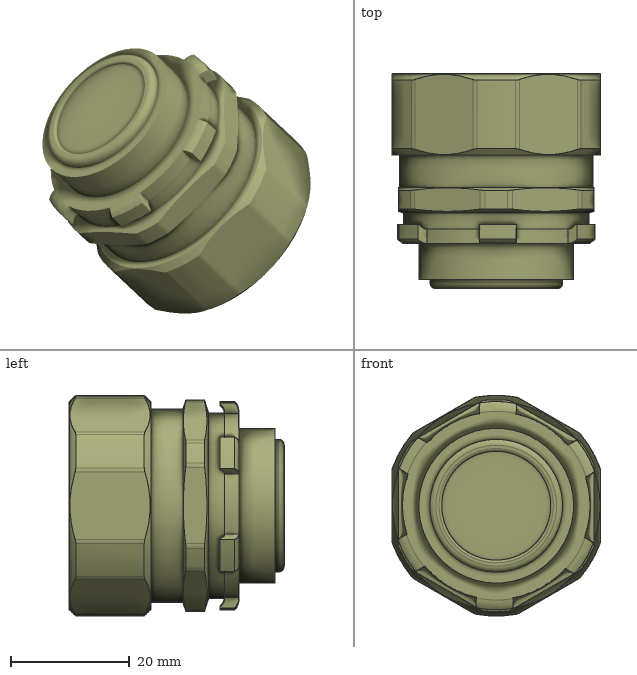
import cadquery as cq
import math

NUT_END = 13.7
BODY_END = 19.1
LOCKNUT_END = 23.4
RING_START = 26.1
RING_END = 28.5
SPIGOT_END = 34.6
TOTAL_LENGTH = 36.12

BODY_DIAMETER = 32.5
NECK_DIAMETER = 31.2
RING_DIAMETER = 31.5
SPIGOT_DIAMETER = 26.0
LIP_DIAMETER = 22.3

NUT_ACROSS_FLATS = 35.1
NUT_CORNER_DIAMETER = 37.1
NUT_CHAMFER = 1.1

LOCKNUT_ACROSS_FLATS = 32.9
LOCKNUT_CORNER_DIAMETER = 35.6
LOCKNUT_REAR_CHAMFER = 0.5
LOCKNUT_FRONT_CHAMFER = 0.7

HEX_SIDES = 6
HEX_EDGE_FILLET = 2.0

TOOTH_COUNT = 6
TOOTH_WIDTH = 6.16
TOOTH_TWIST = 1.0
TOOTH_OUTER_RADIUS = 17.5
TOOTH_REAR = 25.3
TOOTH_CROWN_END = 27.8
TOOTH_TIP_THICKNESS = 0.3
REAR_BEND_RADIUS = 1.95
FRONT_BEND_RADIUS = 2.4

LIP_FILLET = 1.0
RECESS_DIAMETER = 18.3
RECESS_DEPTH = 0.5
RECESS_EDGE_FILLET = 0.45


def cylinder(diameter, start, end):
    """Solid cylinder on the fitting axis between two axial stations."""
    return cq.Workplane("XZ", origin=(0, -start, 0)).circle(diameter / 2).extrude(end - start)


def revolve_profile(points):
    """Solid of revolution from a (radius, station) outline."""
    outline = [(radius, -station) for radius, station in points]
    return cq.Workplane("XY").polyline(outline).close().revolve(360, (0, 0, 0), (0, 1, 0))


def hex_nut(
    across_flats, corner_diameter, start, end, rear_chamfer, front_chamfer, rear_radius, front_radius
):
    """Hexagon with flats on +-X, rounded corners and conical chamfers down to the end radii."""
    corner_radius = corner_diameter / 2
    hexagon = (
        cq.Workplane("XZ", origin=(0, -start, 0))
        .transformed(rotate=(0, 0, 360 / HEX_SIDES / 2))
        .polygon(HEX_SIDES, across_flats / math.cos(math.pi / HEX_SIDES))
        .extrude(end - start)
    )
    blank = hexagon.intersect(cylinder(corner_diameter, start, end))
    blank = blank.edges("|Y").fillet(HEX_EDGE_FILLET)
    envelope = revolve_profile([
        (0, start),
        (rear_radius, start),
        (corner_radius, start + rear_chamfer),
        (corner_radius, end - front_chamfer),
        (front_radius, end),
        (0, end),
    ])
    return blank.intersect(envelope)


def compression_nut():
    end_radius = NUT_CORNER_DIAMETER / 2 - NUT_CHAMFER
    return hex_nut(
        NUT_ACROSS_FLATS, NUT_CORNER_DIAMETER, 0, NUT_END, NUT_CHAMFER, NUT_CHAMFER, end_radius, end_radius
    )


def locknut():
    return hex_nut(
        LOCKNUT_ACROSS_FLATS, LOCKNUT_CORNER_DIAMETER, BODY_END, LOCKNUT_END,
        LOCKNUT_REAR_CHAMFER, LOCKNUT_FRONT_CHAMFER, BODY_DIAMETER / 2, NECK_DIAMETER / 2,
    )


def tooth_section():
    """Solid of revolution with the tooth section: hollow at the rear, rounded shoulder at the front."""
    rear_bend = (TOOTH_OUTER_RADIUS - TOOTH_TIP_THICKNESS, -TOOTH_REAR)
    front_root = (RING_DIAMETER / 2, -RING_END)
    profile = (
        cq.Workplane("XY")
        .moveTo(0, -RING_END)
        .lineTo(0, -RING_START)
        .lineTo(NECK_DIAMETER / 2, -RING_START)
        .radiusArc(rear_bend, -REAR_BEND_RADIUS)
        .lineTo(TOOTH_OUTER_RADIUS, -TOOTH_REAR)
        .lineTo(TOOTH_OUTER_RADIUS, -TOOTH_CROWN_END)
        .radiusArc(front_root, FRONT_BEND_RADIUS)
        .close()
    )
    return profile.revolve(360, (0, 0, 0), (0, 1, 0))


def teeth():
    """Parallel-sided teeth, spaced evenly and turned slightly from the hexagon corners."""
    pitch = 360 / TOOTH_COUNT
    length = RING_END - TOOTH_REAR
    blade = cq.Workplane("XY").box(
        TOOTH_WIDTH, length, 2 * TOOTH_OUTER_RADIUS, centered=(True, False, False)
    ).translate((0, -RING_END, 0))
    blades = cq.Workplane("XY")
    for index in range(TOOTH_COUNT):
        blades = blades.add(blade.rotate((0, 0, 0), (0, 1, 0), TOOTH_TWIST + index * pitch))
    return tooth_section().intersect(blades.combine())


def lip():
    """Rounded front lip with a shallow blind recess."""
    recess_floor = TOTAL_LENGTH - RECESS_DEPTH
    rim = cylinder(LIP_DIAMETER, SPIGOT_END, TOTAL_LENGTH).faces("<Y").edges().fillet(LIP_FILLET)
    rim = rim.cut(cylinder(RECESS_DIAMETER, recess_floor, TOTAL_LENGTH))
    mouth = cq.selectors.RadiusNthSelector(0)
    return rim.faces("<Y").edges(mouth).fillet(RECESS_EDGE_FILLET)


result = (
    compression_nut()
    .union(cylinder(BODY_DIAMETER, NUT_END, BODY_END))
    .union(locknut())
    .union(cylinder(NECK_DIAMETER, LOCKNUT_END, RING_START))
    .union(cylinder(RING_DIAMETER, RING_START, RING_END))
    .union(teeth())
    .union(cylinder(SPIGOT_DIAMETER, RING_END, SPIGOT_END))
    .union(lip())
)